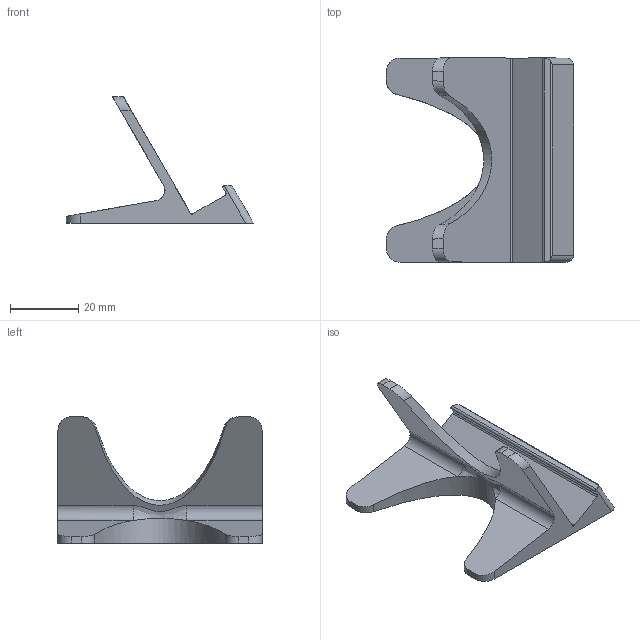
import cadquery as cq
import math


length = 55.0
width = 60.0
height = 37.14

foot_tip_height = 2.0
foot_slope = math.radians(10)
back_lean = math.radians(60)
back_top_x = 13.55
back_thickness = 2.75
seat_low_z = 2.5
lip_height = 11.11
lip_thickness = 2.6

crotch_radius = 3.0
arm_radius = 4.0
lip_side_radius = 2.0
small_radius = 0.5

notch_depth = 30.0
notch_half_width = 20.0
notch_semi_length = 53.5

overcut = 1.0

run_per_rise = 1 / math.tan(back_lean)
back_run = back_thickness / math.sin(back_lean)
lip_run = lip_thickness / math.sin(back_lean)
seat_slope = math.pi / 2 - back_lean

base_rise_per_run = math.tan(foot_slope)
crotch_x = (back_top_x + (height - foot_tip_height) * run_per_rise) / (1 + base_rise_per_run * run_per_rise)
crotch_z = foot_tip_height + crotch_x * base_rise_per_run

seat_low_x = back_top_x + back_run + (height - seat_low_z) * run_per_rise
lip_outer_x = length - lip_height * run_per_rise
lip_inner_x = lip_outer_x - lip_run
lip_tip_run = lip_inner_x - seat_low_x
lip_tip_rise = lip_height - seat_low_z
seat_length = lip_tip_run * math.cos(seat_slope) + lip_tip_rise * math.sin(seat_slope)
seat_high_x = seat_low_x + seat_length * math.cos(seat_slope)
seat_high_z = seat_low_z + seat_length * math.sin(seat_slope)


def extrude_profile(points):
    """Prism across the full width from an (X, Z) outline."""
    return cq.Workplane("XZ").polyline(points).close().extrude(width / 2, both=True)


def round_corner(body, x, z, radius):
    """Round the full-width edge at the profile corner (x, z)."""
    nearest = cq.selectors.NearestToPointSelector((x, 0, z))
    return body.edges("|Y").edges(nearest).fillet(radius)


def make_body():
    """Full-width stand with sharp corners."""
    return extrude_profile([
        (0, 0),
        (length, 0),
        (lip_outer_x, lip_height),
        (lip_inner_x, lip_height),
        (seat_high_x, seat_high_z),
        (seat_low_x, seat_low_z),
        (back_top_x + back_run, height),
        (back_top_x, height),
        (crotch_x, crotch_z),
        (0, foot_tip_height),
    ])


def notch_cutter(plane, thickness, overrun):
    """Elliptical cylinder through a wall that starts at the plane, overrunning both its faces.

    The plane's X axis points from the tips into the notch, its Z axis through the wall.
    """
    center = notch_depth - notch_semi_length
    semi_width = notch_half_width / math.sqrt(1 - (center / notch_semi_length) ** 2)
    return (
        cq.Workplane(plane)
        .workplane(offset=-overrun)
        .center(center, 0)
        .ellipse(notch_semi_length, semi_width, rotation_angle=180)
        .extrude(thickness + 2 * overrun)
    )


def base_waste():
    """Vertical notch between the two feet."""
    return notch_cutter(cq.Plane.XY(), crotch_z, overcut)


def back_waste():
    """Notch between the two arms, together with the material outside the rounded arm tips.

    It is taken from a slab thicker than the back, so the rounds run cleanly past both faces.
    """
    margin = overcut / math.sin(back_lean)
    rear_x = back_top_x - margin
    front_x = back_top_x + back_run + margin
    shift = notch_depth * run_per_rise
    slab = extrude_profile([
        (rear_x, height),
        (front_x, height),
        (front_x + shift, height - notch_depth),
        (rear_x + shift, height - notch_depth),
    ])
    rear_face = cq.Plane(
        origin=(back_top_x, 0, height),
        xDir=(math.cos(back_lean), 0, -math.sin(back_lean)),
        normal=(math.sin(back_lean), 0, math.cos(back_lean)),
    )
    arms = slab.cut(notch_cutter(rear_face, back_thickness, 2 * overcut))
    arms = arms.faces(">Z").edges("not |Y").fillet(arm_radius)
    return slab.cut(arms)


def lip_side_waste(side):
    """Material outside the round on one sloping side edge of the lip's outer face."""
    across_edge = cq.Plane(
        origin=(length, side * width / 2, 0),
        xDir=(math.sin(back_lean), 0, math.cos(back_lean)),
        normal=(-math.cos(back_lean), 0, math.sin(back_lean)),
    )
    r = lip_side_radius
    reach = 2 * lip_height
    arc_inset = r * (1 - math.sqrt(0.5))
    return (
        cq.Workplane(across_edge)
        .moveTo(-r, 0)
        .threePointArc((-arc_inset, -side * arc_inset), (0, -side * r))
        .lineTo(overcut, -side * r)
        .lineTo(overcut, side * overcut)
        .lineTo(-r, side * overcut)
        .close()
        .extrude(reach, both=True)
    )


body = make_body().cut(base_waste()).cut(back_waste())
body = round_corner(body, crotch_x, crotch_z, crotch_radius)

body = body.faces("<X").edges("not |Y").fillet(arm_radius)

for corner_x, corner_z in [
    (seat_low_x, seat_low_z),
    (seat_high_x, seat_high_z),
    (lip_inner_x, lip_height),
    (lip_outer_x, lip_height),
]:
    body = round_corner(body, corner_x, corner_z, small_radius)

for side in (-1, 1):
    body = body.cut(lip_side_waste(side))

result = body